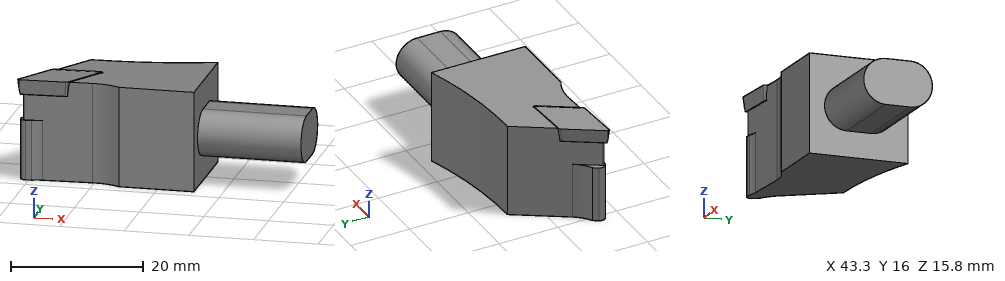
import cadquery as cq
import math


lead_angle = 3.0
nose_angle = 55.0
side_angle = lead_angle + nose_angle

inscribed_circle = 6.35
insert_edge = inscribed_circle / math.sin(math.radians(nose_angle))
insert_thickness = 2.38
clearance_angle = 7.0
nose_radius = 0.2
blunt_corner_radius = 0.4
insert_top = 15.8

head_length = 27.31
block_width = 16.0
block_height = 15.68
front_inset = 0.46
side_inset = 0.35
holder_nose_radius = 0.22
back_corner_y = 5.02
relief_radius = 8.0
relief_start_x = -15.96

rib_height = 9.4
rib_radius = 0.93
rib_center = cq.Vector(-26.14, -6.82)
front_flat_length = 0.9
side_flat_length = 0.95
front_runout_radius = 5.0
side_runout_radius = 6.5

shank_length = 16.0
shank_width = 11.15
shank_thickness = 7.2
shank_center_z = 7.68


def direction(angle):
    """Horizontal unit vector at an angle in degrees from X."""
    return cq.Vector(math.cos(math.radians(angle)), math.sin(math.radians(angle)))


def xy(point):
    return (point.x, point.y)


front_along = direction(lead_angle)
front_out = direction(lead_angle - 90)
side_along = direction(side_angle)
side_out = direction(side_angle + 90)
tip_out = (front_out + side_out).normalized()


def corner(center, front_offset, side_offset):
    """Where lines parallel to the cutting edges cross, at given outward distances from a centre."""
    sine = math.sin(math.radians(nose_angle))
    return center - side_along * (front_offset / sine) - front_along * (side_offset / sine)


nose_center = cq.Vector(nose_radius - head_length, nose_radius - block_width / 2)
insert_tip = corner(nose_center, nose_radius, nose_radius)
holder_tip = corner(insert_tip, -front_inset, -side_inset)

front_corner = insert_tip + front_along * insert_edge
side_corner = insert_tip + side_along * insert_edge
far_tip = front_corner + side_along * insert_edge
far_center = far_tip + insert_tip - nose_center


def taper_down(outline):
    """Extrude a closed outline at the insert top downward, narrowing by the clearance angle."""
    return outline.extrude(-insert_thickness, taper=clearance_angle)


def make_pocket():
    points = [xy(p) for p in (insert_tip, front_corner, far_tip, side_corner)]
    return taper_down(cq.Workplane("XY").workplane(offset=insert_top).polyline(points).close())


def make_insert():
    outline = (
        cq.Workplane("XY").workplane(offset=insert_top)
        .moveTo(*xy(nose_center + front_out * nose_radius))
        .lineTo(*xy(front_corner))
        .lineTo(*xy(far_center - side_out * nose_radius))
        .threePointArc(xy(far_center - tip_out * nose_radius), xy(far_center - front_out * nose_radius))
        .lineTo(*xy(side_corner))
        .lineTo(*xy(nose_center + side_out * nose_radius))
        .threePointArc(xy(nose_center + tip_out * nose_radius), xy(nose_center + front_out * nose_radius))
        .close()
    )
    insert = taper_down(outline)
    mid_z = insert_top - insert_thickness / 2
    for blunt_corner in (front_corner, side_corner):
        insert = (
            insert.edges(cq.selectors.NearestToPointSelector((*xy(blunt_corner), mid_z)))
            .fillet(blunt_corner_radius)
        )
    return insert


def make_block():
    front_y = -block_width / 2

    relief_start = holder_tip + front_along * ((relief_start_x - holder_tip.x) / front_along.x)
    relief_center = relief_start + front_out * relief_radius
    relief_end_x = relief_center.x + math.sqrt(relief_radius**2 - (front_y - relief_center.y)**2)

    back_corner = holder_tip + side_along * ((back_corner_y - holder_tip.y) / side_along.y)
    back_rise = block_width / 2 - back_corner.y
    back_radius = (back_corner.x**2 + back_rise**2) / (2 * back_rise)
    half_sweep = math.asin(-back_corner.x / back_radius) / 2
    back_middle = back_corner + cq.Vector(math.sin(half_sweep), 1 - math.cos(half_sweep)) * back_radius

    block = (
        cq.Workplane("XY")
        .moveTo(*xy(holder_tip))
        .lineTo(*xy(relief_start))
        .tangentArcPoint((relief_end_x, front_y), relative=False)
        .lineTo(0, front_y)
        .lineTo(0, block_width / 2)
        .threePointArc(xy(back_middle), xy(back_corner))
        .close()
        .extrude(block_height)
    )
    tip_edge = cq.selectors.NearestToPointSelector((*xy(holder_tip), block_height / 2))
    return block.edges(tip_edge).fillet(holder_nose_radius)


def runout(flat_end, along, out, radius):
    """Middle and end of the hollow arc from a rib flat down to a tangent landing on the holder wall."""
    height = (flat_end - holder_tip).dot(out)
    length = math.sqrt(2 * radius * height - height**2)
    landing = flat_end - out * height + along * length
    center = landing + out * radius
    middle = center + ((flat_end + landing) * 0.5 - center).normalized() * radius
    return middle, landing


def make_rib():
    front_tangent = rib_center + front_out * rib_radius
    side_tangent = rib_center + side_out * rib_radius
    front_flat_end = front_tangent + front_along * front_flat_length
    side_flat_end = side_tangent + side_along * side_flat_length
    front_middle, front_landing = runout(front_flat_end, front_along, front_out, front_runout_radius)
    side_middle, side_landing = runout(side_flat_end, side_along, side_out, side_runout_radius)
    return (
        cq.Workplane("XY")
        .moveTo(*xy(side_tangent))
        .threePointArc(xy(rib_center + tip_out * rib_radius), xy(front_tangent))
        .lineTo(*xy(front_flat_end))
        .threePointArc(xy(front_middle), xy(front_landing))
        .lineTo(*xy(side_landing))
        .threePointArc(xy(side_middle), xy(side_flat_end))
        .close()
        .extrude(rib_height)
    )


def make_shank():
    return (
        cq.Workplane("YZ")
        .center(0, shank_center_z)
        .slot2D(shank_width, shank_thickness)
        .extrude(shank_length)
    )


insert = make_insert()
holder = make_block().union(make_rib()).union(make_shank()).cut(make_pocket())

result = cq.Compound.makeCompound([holder.solids().val(), insert.solids().val()])